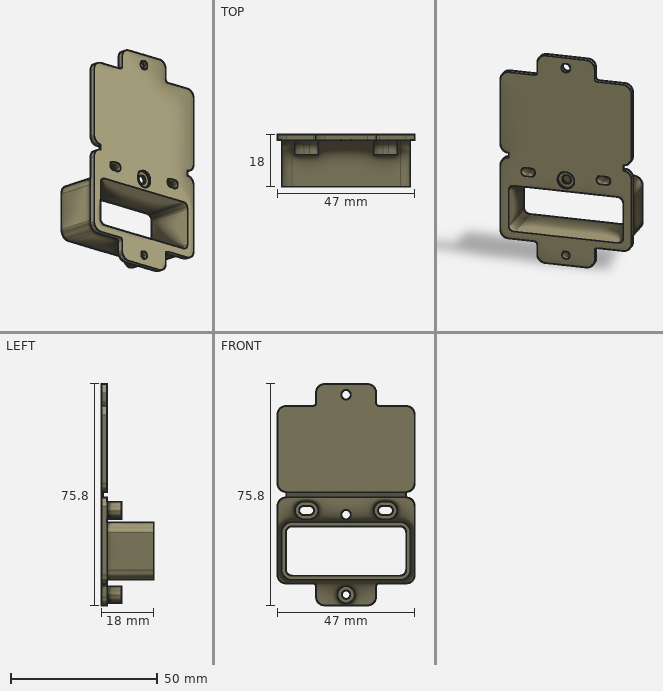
import cadquery as cq

width = 47.0
height = 75.8
total_depth = 18.0
plate_thickness = 2.0
plate_corner_radius = 3.0

hinge_gap = 1.8
hinge_width = 41.0
hinge_thickness = 0.6
hinge_overlap = 0.4

tab_width = 20.6
tab_height = 7.5
tab_root_radius = 1.0

wall = 1.5
opening_width = hinge_width
opening_height = 16.75
opening_corner_radius = 2.0
sleeve_center_z = 18.65

boss_height = 5.0
slot_spacing = 27.0
slot_z = 32.5
slot_travel = 2.0
slot_width = 3.0
slot_boss_width = 6.0
pin_boss_diameter = 5.8
pin_hole_diameter = 2.8
pin_z = 3.7
screw_hole_diameter = 3.2
cover_hole_z = height - pin_z
mount_hole_z = 31.1
screw_hole_positions = [(0, mount_hole_z), (0, cover_hole_z)]
head_recess_diameter = 6.0
head_recess_depth = 0.9

mid_z = height / 2
plate_height = (height - hinge_gap) / 2
slot_positions = [(-slot_spacing / 2, slot_z), (slot_spacing / 2, slot_z)]


def section():
    """Sketch plane on the flat back, with extrusions running toward -Y."""
    return cq.Workplane("XZ")


def rounded_block(block_width, block_height, center_z, depth, radius):
    block = section().center(0, center_z).rect(block_width, block_height).extrude(depth)
    return block.edges("|Y").fillet(radius)


def lower_plate():
    """Plate with a rounded tab below it and small fillets at the tab roots."""
    body_height = plate_height - tab_height
    body_center_z = tab_height + body_height / 2
    body = rounded_block(width, body_height, body_center_z, plate_thickness, plate_corner_radius)
    tab = section().center(0, tab_height / 2).rect(tab_width, tab_height).extrude(plate_thickness)
    tab = tab.edges("|Y and <Z").fillet(plate_corner_radius)
    plate = body.union(tab)
    root_edges = cq.selectors.BoxSelector(
        (-tab_width / 2 - 0.75, -plate_thickness - 0.75, tab_height - 0.1),
        (tab_width / 2 + 0.75, 0.75, tab_height + 0.1),
    )
    return plate.edges("|Y").edges(root_edges).fillet(tab_root_radius)


def hinge():
    """Thin web flush with the back, overlapping both plates."""
    web_height = hinge_gap + 2 * hinge_overlap
    return section().center(0, mid_z).rect(hinge_width, web_height).extrude(hinge_thickness)


def slots(slot_height, depth):
    return section().pushPoints(slot_positions).slot2D(slot_travel + slot_height, slot_height).extrude(depth)


def round_pins(positions, diameter, depth):
    return section().pushPoints(positions).circle(diameter / 2).extrude(depth)


base_plate = lower_plate()
cover_plate = base_plate.mirror("XY", (0, 0, mid_z))
result = base_plate.union(cover_plate).union(hinge())

boss_depth = plate_thickness + boss_height
sleeve = rounded_block(
    opening_width + 2 * wall,
    opening_height + 2 * wall,
    sleeve_center_z,
    total_depth,
    opening_corner_radius + wall,
)
result = result.union(sleeve)
result = result.union(slots(slot_boss_width, boss_depth))
result = result.union(round_pins([(0, pin_z)], pin_boss_diameter, boss_depth))

opening = rounded_block(
    opening_width, opening_height, sleeve_center_z, total_depth, opening_corner_radius
)
result = result.cut(opening)
result = result.cut(slots(slot_width, boss_depth))
result = result.cut(round_pins([(0, pin_z)], pin_hole_diameter, boss_depth))
result = result.cut(round_pins(screw_hole_positions, screw_hole_diameter, plate_thickness))

result = result.cut(round_pins([(0, mount_hole_z)], head_recess_diameter, head_recess_depth))